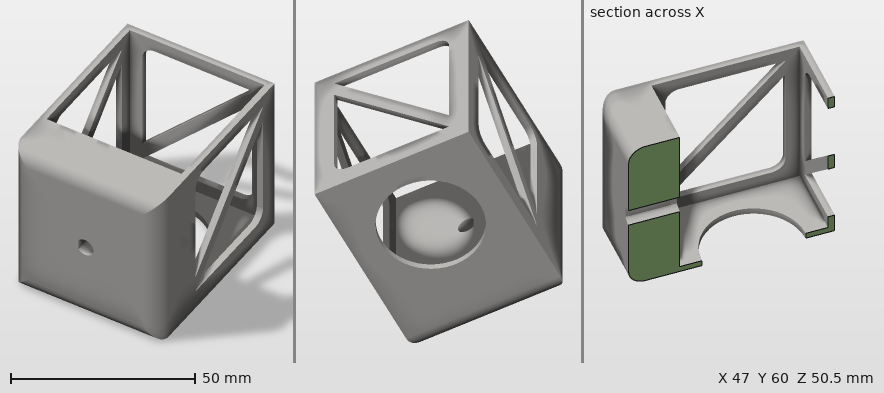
import cadquery as cq
import math

width = 47.0
depth = 60.0
height = 50.5

wall = 2.0
floor_thickness = 2.0
front_thickness = 15.0
front_round = 5.0

window_width = 35.0
window_margin = 6.0
window_bottom = 6.0
window_top_margin = 4.0
window_corner = 4.0
brace_height = 5.1

floor_hole_diameter = 30.0
shaft_hole_diameter = 5.3
shaft_flat_offset = 2.1

cavity_width = width - 2 * wall
cavity_depth = depth - front_thickness - wall
cavity_center_y = front_thickness + cavity_depth / 2
window_height = height - window_bottom - window_top_margin
triangle_height = window_height - brace_height


def make_body():
    """Box with a rounded front face and a rear cavity; the front lies at y = 0."""
    body = cq.Workplane("XY").box(width, depth, height, centered=(True, False, False))
    body = body.faces("<Y").edges().fillet(front_round)
    cavity = (
        cq.Workplane("XY", origin=(0, cavity_center_y, floor_thickness))
        .box(cavity_width, cavity_depth, height, centered=(True, True, False))
    )
    return body.cut(cavity)


def make_triangle(plane, corner_across, corner_z, run, rise, length):
    """Right triangle with a rounded square corner; run and rise are its signed legs."""
    round_across = math.copysign(window_corner, run)
    round_z = math.copysign(window_corner, rise)
    arc_inset = 1 - math.sqrt(0.5)
    return (
        plane.moveTo(corner_across, corner_z + rise)
        .lineTo(corner_across + run, corner_z)
        .lineTo(corner_across + round_across, corner_z)
        .threePointArc(
            (corner_across + arc_inset * round_across, corner_z + arc_inset * round_z),
            (corner_across, corner_z + round_z),
        )
        .close()
        .extrude(length)
    )


def cut_window(body, plane, high_end, low_end, length):
    """Cut two triangles, leaving a brace that rises from low_end to high_end."""
    run = high_end - low_end
    window_top = window_bottom + window_height
    upper = make_triangle(plane, low_end, window_top, run, -triangle_height, length)
    lower = make_triangle(plane, high_end, window_bottom, -run, triangle_height, length)
    return body.cut(upper).cut(lower)


def make_shaft_hole():
    """D-shaped bore through the front block, with its flat on the -X side."""
    radius = shaft_hole_diameter / 2
    half_flat = math.sqrt(radius**2 - shaft_flat_offset**2)
    return (
        cq.Workplane("XZ", origin=(0, 0, height / 2))
        .moveTo(-shaft_flat_offset, -half_flat)
        .threePointArc((radius, 0), (-shaft_flat_offset, half_flat))
        .close()
        .extrude(-front_thickness)
    )


result = make_body()

side_rear = depth - window_margin
side_plane = cq.Workplane("YZ", origin=(-width / 2, 0, 0))
result = cut_window(result, side_plane, side_rear, side_rear - window_width, width)

rear_plane = cq.Workplane("XZ", origin=(0, depth, 0))
result = cut_window(result, rear_plane, window_width / 2, -window_width / 2, wall)

floor_hole = (
    cq.Workplane("XY", origin=(0, cavity_center_y, 0))
    .circle(floor_hole_diameter / 2)
    .extrude(floor_thickness)
)
result = result.cut(floor_hole).cut(make_shaft_hole())